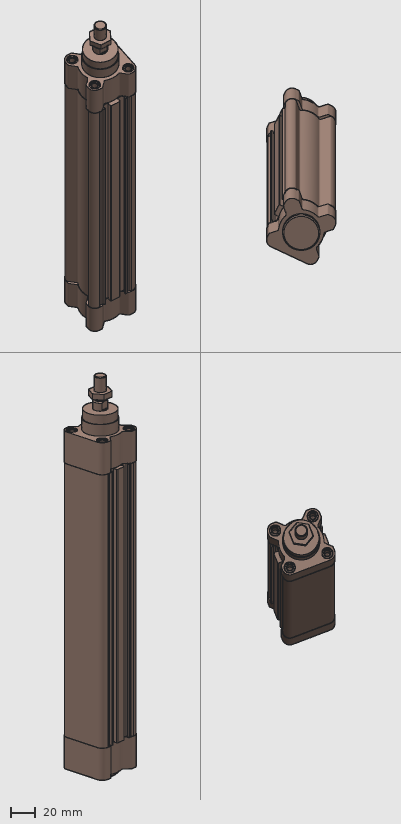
import cadquery as cq
import math

TOTAL_HEIGHT = 345.0

FOOT_HEIGHT = 4.0
FOOT_DIAMETER = 30.0
FOOT_CHAMFER = 1.0
CAP_HEIGHT = 28.0
BARREL_HEIGHT = 238.0
CAP_WIDTH = 45.0
BARREL_WIDTH = 44.2
LUG_SPACING = 32.5
CAP_BULGE_RADIUS = 18.3
BARREL_BULGE_RADIUS = 18.0
CAP_BULGE_HALF_WIDTH = 7.2
BARREL_BULGE_HALF_WIDTH = 9.0
BULGE_FILLET = 1.5
LUG_EDGE_RADIUS = 1.5

SLOT_FLOOR = 18.0
RIB_WIDTH = 9.3
RIB_CHAMFER = 0.7
LIP_INNER = 9.5
LIP_OUTER = 11.0
LIP_THICKNESS = 1.7
GROOVE_DEPTH = 1.5
GROOVE_FLOOR_WIDTH = 1.7

SCREW_RECESS_DIAMETER = 9.0
SCREW_HEAD_DIAMETER = 8.3
SCREW_RECESS_DEPTH = 2.0
SCREW_HEAD_HEIGHT = 1.5
THREAD_MOUTH_DIAMETER = 6.0
THREAD_CORE_DIAMETER = 5.0
THREAD_DEPTH = 10.5

NOSE_LOWER_DIAMETER = 30.0
NOSE_LOWER_HEIGHT = 10.0
NOSE_UPPER_DIAMETER = 28.5
NOSE_UPPER_HEIGHT = 8.0

ROD_DIAMETER = 12.0
ROD_SHOULDER_Z = 324.0
ROD_CHAMFER = 1.0
FLAT_WIDTH = 10.0
FLAT_BOTTOM_GAP = 1.0
NECK_DIAMETER = 8.3
NECK_HEIGHT = 1.0
THREAD_DIAMETER = 10.0
TIP_CHAMFER = 0.7

NUT_ACROSS_FLATS = 17.0
NUT_THICKNESS = 5.2
NUT_BOTTOM_Z = 326.8

REAR_CAP_TOP = FOOT_HEIGHT + CAP_HEIGHT
BARREL_TOP = REAR_CAP_TOP + BARREL_HEIGHT
FRONT_CAP_TOP = BARREL_TOP + CAP_HEIGHT
NOSE_STEP_Z = FRONT_CAP_TOP + NOSE_LOWER_HEIGHT
NOSE_TOP = NOSE_STEP_Z + NOSE_UPPER_HEIGHT


def level(height):
    """Horizontal workplane at a height."""
    return cq.Workplane("XY").workplane(offset=height)


def cylinder(diameter, bottom, top):
    """Upright cylinder on the Z axis."""
    return level(bottom).circle(diameter / 2).extrude(top - bottom)


def rounded_block(width, bottom, height):
    """Square block whose corners are round about the lug axes."""
    block = level(bottom).rect(width, width).extrude(height)
    return block.edges("|Z").fillet((width - LUG_SPACING) / 2)


def side_recess(width, bulge_radius, bulge_half_width, bottom, height):
    """Material to remove from the -Y side, leaving the bulge between two 45 degree lug walls."""
    half = width / 2
    bulge_end = math.sqrt(bulge_radius**2 - bulge_half_width**2)
    mouth = bulge_half_width + half - bulge_end
    setback = LUG_EDGE_RADIUS * math.tan(math.pi / 8)
    wall_setback = setback * math.sqrt(0.5)
    arc_angle = math.asin(bulge_half_width / bulge_radius) / 2
    right_half = (
        level(bottom)
        .moveTo(0, -half)
        .lineTo(0, -bulge_radius)
        .threePointArc((bulge_radius * math.sin(arc_angle), -bulge_radius * math.cos(arc_angle)),
                       (bulge_half_width, -bulge_end))
        .lineTo(mouth - wall_setback, -half + wall_setback)
        .tangentArcPoint((mouth + setback, -half), relative=False)
        .close()
        .extrude(height)
    )
    bulge_corner = (bulge_half_width, -bulge_end, bottom + height / 2)
    right_half = right_half.edges(cq.selectors.NearestToPointSelector(bulge_corner)).fillet(BULGE_FILLET)
    return right_half.union(right_half.mirror("YZ"))


def turned(shape, angle):
    """Shape turned about the Z axis."""
    return shape.rotate((0, 0, 0), (0, 0, 1), angle)


def end_cap(bottom):
    """Cap recessed on the -X, -Y and +X sides and flat on the +Y side."""
    cap = rounded_block(CAP_WIDTH, bottom, CAP_HEIGHT)
    recess = side_recess(CAP_WIDTH, CAP_BULGE_RADIUS, CAP_BULGE_HALF_WIDTH, bottom, CAP_HEIGHT)
    for angle in (-90, 0, 90):
        cap = cap.cut(turned(recess, angle))
    return cap


def half_side_slot():
    """Undercut slot and bevelled groove on the +Y half of the +X side of the barrel."""
    outside = BARREL_WIDTH / 2
    groove_floor = outside - GROOVE_DEPTH
    floor_start = LIP_OUTER + GROOVE_DEPTH
    floor_end = floor_start + GROOVE_FLOOR_WIDTH
    outline = [
        (SLOT_FLOOR, RIB_WIDTH / 2),
        (outside - RIB_CHAMFER, RIB_WIDTH / 2),
        (outside, RIB_WIDTH / 2 - RIB_CHAMFER),
        (outside, LIP_INNER),
        (outside - LIP_THICKNESS, LIP_INNER),
        (outside - LIP_THICKNESS, LIP_OUTER),
        (SLOT_FLOOR, LIP_OUTER),
    ]
    slot = level(REAR_CAP_TOP).polyline(outline).close().extrude(BARREL_HEIGHT)
    groove = (
        level(REAR_CAP_TOP)
        .polyline([(outside, LIP_OUTER), (groove_floor, floor_start),
                   (groove_floor, floor_end), (outside, floor_end + GROOVE_DEPTH)])
        .close().extrude(BARREL_HEIGHT)
    )
    return slot.union(groove)


def barrel():
    """Profile tube with a recessed -Y side and slotted -X and +X sides."""
    tube = rounded_block(BARREL_WIDTH, REAR_CAP_TOP, BARREL_HEIGHT)
    recess = side_recess(
        BARREL_WIDTH, BARREL_BULGE_RADIUS, BARREL_BULGE_HALF_WIDTH, REAR_CAP_TOP, BARREL_HEIGHT
    )
    tube = tube.cut(recess)
    quarter = half_side_slot()
    half = quarter.union(quarter.mirror("XZ"))
    return tube.cut(half).cut(half.mirror("YZ"))


def lug_axes(height):
    """Workplane with a point on each of the four corner axes."""
    return level(height).rect(LUG_SPACING, LUG_SPACING, forConstruction=True).vertices()


def add_screws(body):
    """Sunk screw heads with a threaded hole that ends in a drill point."""
    recess_floor = FRONT_CAP_TOP - SCREW_RECESS_DEPTH
    head_top = recess_floor + SCREW_HEAD_HEIGHT
    core_radius = THREAD_CORE_DIAMETER / 2
    mouth_radius = THREAD_MOUTH_DIAMETER / 2
    hole = (
        cq.Workplane("XZ")
        .polyline([(0, head_top), (mouth_radius, head_top),
                   (core_radius, head_top - (mouth_radius - core_radius)),
                   (core_radius, head_top - THREAD_DEPTH),
                   (0, head_top - THREAD_DEPTH - core_radius)])
        .close().revolve(360, (0, 0, 0), (0, 1, 0))
    )
    body = body.cut(lug_axes(recess_floor).circle(SCREW_RECESS_DIAMETER / 2).extrude(SCREW_RECESS_DEPTH))
    body = body.union(lug_axes(recess_floor).circle(SCREW_HEAD_DIAMETER / 2).extrude(SCREW_HEAD_HEIGHT))
    for x in (-LUG_SPACING / 2, LUG_SPACING / 2):
        for y in (-LUG_SPACING / 2, LUG_SPACING / 2):
            body = body.cut(hole.translate((x, y, 0)))
    return body


def make_housing():
    foot = cylinder(FOOT_DIAMETER, 0, FOOT_HEIGHT).faces("<Z").chamfer(FOOT_CHAMFER)
    nose_lower = cylinder(NOSE_LOWER_DIAMETER, FRONT_CAP_TOP, NOSE_STEP_Z)
    nose_upper = cylinder(NOSE_UPPER_DIAMETER, NOSE_STEP_Z, NOSE_TOP)
    body = end_cap(FOOT_HEIGHT).union(barrel()).union(end_cap(BARREL_TOP))
    body = body.union(foot).union(nose_lower).union(nose_upper)
    body = add_screws(body)
    return body.cut(cylinder(ROD_DIAMETER, BARREL_TOP, NOSE_TOP))


def make_rod():
    """Rod with two wrench flats, a neck and a threaded end."""
    neck_top = ROD_SHOULDER_Z + NECK_HEIGHT
    shank = cylinder(ROD_DIAMETER, BARREL_TOP, ROD_SHOULDER_Z).faces(">Z").chamfer(ROD_CHAMFER)
    flat_bottom = NOSE_TOP + FLAT_BOTTOM_GAP
    flat_length = ROD_SHOULDER_Z - flat_bottom
    flat_centre = flat_bottom + flat_length / 2
    flat_keep = cq.Workplane("XY").box(FLAT_WIDTH, ROD_DIAMETER, flat_length)
    flat_zone = cq.Workplane("XY").box(ROD_DIAMETER, ROD_DIAMETER, flat_length)
    shank = shank.cut(flat_zone.cut(flat_keep).translate((0, 0, flat_centre)))
    neck = cylinder(NECK_DIAMETER, ROD_SHOULDER_Z, neck_top)
    thread = cylinder(THREAD_DIAMETER, neck_top, TOTAL_HEIGHT)
    thread = thread.faces("<Z").chamfer((THREAD_DIAMETER - NECK_DIAMETER) / 2)
    thread = thread.faces(">Z").chamfer(TIP_CHAMFER)
    return shank.union(neck).union(thread)


def make_nut():
    """Hexagon nut with two flats square to the X axis."""
    corner_diameter = NUT_ACROSS_FLATS / math.cos(math.pi / 6)
    blank = level(NUT_BOTTOM_Z).polygon(6, corner_diameter).extrude(NUT_THICKNESS)
    return turned(blank, 90).cut(cylinder(THREAD_DIAMETER, NUT_BOTTOM_Z, NUT_BOTTOM_Z + NUT_THICKNESS))


housing = make_housing()
rod = make_rod()
nut = make_nut()

result = cq.Compound.makeCompound([housing.val(), rod.val(), nut.val()])